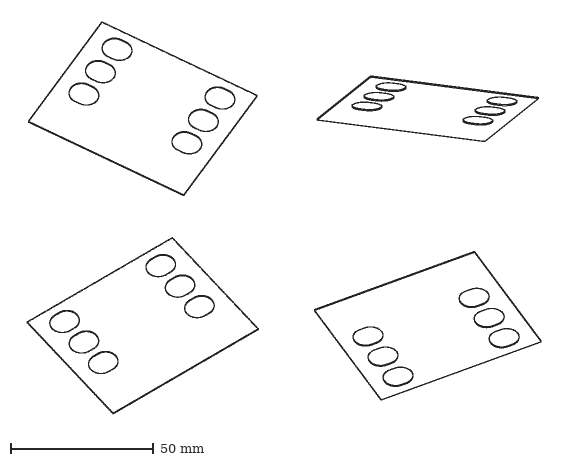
import cadquery as cq

plate_width = 63.5
plate_depth = 50.8
plate_thickness = 0.5

slot_width = 8.73
slot_end_spacing = 2.0
slot_length = slot_width + slot_end_spacing
slot_column_spacing = 42.06
slot_pitch = 11.43
slots_per_column = 3
first_slot_from_back_edge = 7.62


def slot_centres():
    """Centres of all slots, measured from the middle of the plate."""
    first_y = plate_depth / 2 - first_slot_from_back_edge
    return [
        (side * slot_column_spacing / 2, first_y - row * slot_pitch)
        for side in (-1, 1)
        for row in range(slots_per_column)
    ]


def make_plate():
    """Flat rectangular plate resting on Z = 0."""
    return cq.Workplane("XY").rect(plate_width, plate_depth).extrude(plate_thickness)


def cut_slots(plate):
    """Cut the round-ended slots through the plate."""
    return (
        plate.faces(">Z")
        .workplane()
        .pushPoints(slot_centres())
        .slot2D(slot_length, slot_width)
        .cutThruAll()
    )


result = cut_slots(make_plate())